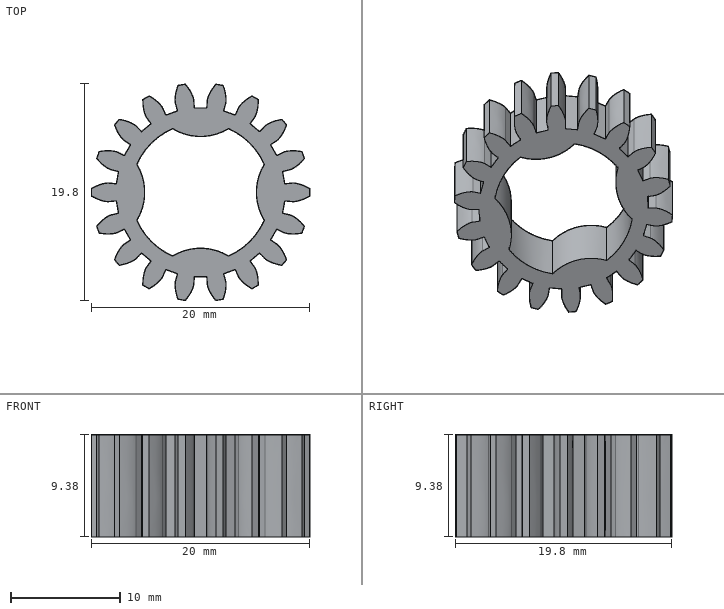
import cadquery as cq
import math

outer_length = 19.99
face_width = 9.38
tooth_count = 18
pressure_angle = math.radians(20)
addendum_factor = 1.0
dedendum_factor = 1.25

bore_radius = 6.35
lobe_count = 4
lobe_radius = 4.9
lobe_center_radius = 10.0

flank_steps = 8


def involute(angle):
    return math.tan(angle) - angle


base_half_angle = math.pi / (2 * tooth_count) + involute(pressure_angle)
tip_to_pitch_ratio = 1 + 2 * addendum_factor / tooth_count
tip_pressure_angle = math.acos(math.cos(pressure_angle) / tip_to_pitch_ratio)
tip_half_angle = base_half_angle - involute(tip_pressure_angle)

tip_radius = outer_length / 2 / math.cos(tip_half_angle)
pitch_radius = tip_radius / tip_to_pitch_ratio
module = 2 * pitch_radius / tooth_count
base_radius = pitch_radius * math.cos(pressure_angle)
root_radius = pitch_radius - dedendum_factor * module


def polar(radius, angle):
    return (radius * math.cos(angle), radius * math.sin(angle))


def flank_points(tooth_angle, side):
    """Involute points from base circle to tip; side is -1 or +1 about the tooth axis."""
    points = []
    tip_roll = math.tan(tip_pressure_angle)
    for step in range(flank_steps + 1):
        roll = tip_roll * step / flank_steps
        radius = base_radius * math.hypot(1, roll)
        half_angle = base_half_angle - involute(math.atan(roll))
        points.append(polar(radius, tooth_angle + side * half_angle))
    return points


def gear_blank():
    """Gear with flat tooth tips, flat root floors and radial flanks below the base circle."""
    start = polar(root_radius, -base_half_angle)
    outline = cq.Workplane("XY").moveTo(*start)
    for tooth in range(tooth_count):
        tooth_angle = 2 * math.pi * tooth / tooth_count
        rising = flank_points(tooth_angle, -1)
        falling = flank_points(tooth_angle, 1)[::-1]
        if tooth > 0:
            outline = outline.lineTo(*polar(root_radius, tooth_angle - base_half_angle))
        outline = outline.lineTo(*rising[0])
        outline = outline.spline(rising[1:], includeCurrent=True)
        outline = outline.lineTo(*falling[0])
        outline = outline.spline(falling[1:], includeCurrent=True)
        outline = outline.lineTo(*polar(root_radius, tooth_angle + base_half_angle))
    return outline.close().extrude(face_width)


def bore():
    """Round through bore, pinched by convex lobes that bulge toward the axis."""
    round_bore = cq.Workplane("XY").circle(bore_radius).extrude(face_width)
    lobes = (
        cq.Workplane("XY")
        .polarArray(lobe_center_radius, 0, 360, lobe_count)
        .circle(lobe_radius)
        .extrude(face_width)
    )
    return round_bore.cut(lobes)


result = gear_blank().cut(bore())